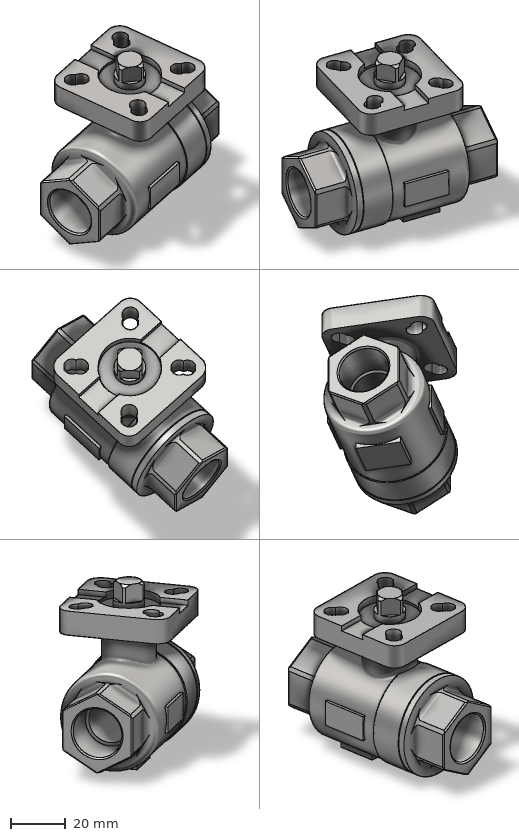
import cadquery as cq
import math

overall_length = 75
stem_top_z = 47.0

body_diameter = 38.0
body_half_length = 23.55
body_front_rounding = 2.0
collar_diameter = 39
collar_start_y = 8.85
joint_y = 20.85
joint_width = 0.2
joint_depth = 0.15

hex_flats = 26.85
hex_corner_flats = 30
hex_base_fillet = 2.0
hex_end_chamfer_depth = 0.45
hex_end_chamfer_length = 0.7

bore_diameter = 16.0
socket_diameter = 18.6
socket_depth = 15
socket_chamfer = 0.6

pad_reach = collar_diameter / 2
side_pad_length = 18
side_pad_height = 10.0
side_pad_y = -5.1
bottom_pad_length = 15
bottom_pad_width = 16.8
bottom_pad_y = -8.7

neck_diameter = 20.0
neck_body_fillet = 2.0
neck_plate_fillet = 1.8
selection_margin = 0.1
plate_size = 42
plate_thickness = 9.2
plate_top_z = 40.1
plate_bottom_z = plate_top_z - plate_thickness
plate_corner_radius = 5.0
recess_diameter = 23.0
recess_depth = 3
slot_width = 10.0
slot_depth = 2.0
bolt_hole_diameter = 6
bolt_circle_diameters = (36, 42)
bolt_angles = (45, 135, 225, 315)

stem_diameter = 11.5
stem_flats = 9
stem_chamfer = 1.05


def y_cylinder(diameter, y_start, y_end):
    """Cylinder on the flow axis between two Y positions."""
    disc = cq.Workplane("XZ", origin=(0, y_start, 0)).circle(diameter / 2)
    return disc.extrude(y_start - y_end)


def neck_edges_between(z_low, z_high):
    """Selector for the edges around the neck that lie wholly between two heights."""
    reach = neck_diameter / 2 + selection_margin
    return cq.selectors.BoxSelector((-reach, -reach, z_low), (reach, reach, z_high), boundingbox=True)


def make_body():
    """Body barrel with its neck; both ends of the neck flare out in fillets."""
    barrel = y_cylinder(body_diameter, -body_half_length, body_half_length)
    barrel = barrel.faces("<Y").edges().fillet(body_front_rounding)
    neck = cq.Workplane("XY").circle(neck_diameter / 2).extrude(plate_bottom_z)
    plate = (
        cq.Workplane("XY", origin=(0, 0, plate_bottom_z))
        .rect(plate_size, plate_size)
        .extrude(plate_thickness)
        .edges("|Z")
        .fillet(plate_corner_radius)
    )
    body = barrel.union(neck).union(plate)
    neck_middle_z = (body_diameter / 2 + plate_bottom_z) / 2
    body = body.edges(neck_edges_between(0, neck_middle_z)).fillet(neck_body_fillet)
    return body.edges(neck_edges_between(neck_middle_z, plate_top_z)).fillet(neck_plate_fillet)


def make_collar():
    """Wider rear part of the body with a fine joint groove around it."""
    collar = y_cylinder(collar_diameter, collar_start_y, body_half_length)
    groove_start = joint_y - joint_width / 2
    groove_end = joint_y + joint_width / 2
    core_diameter = collar_diameter - 2 * joint_depth
    groove = y_cylinder(collar_diameter, groove_start, groove_end).cut(
        y_cylinder(core_diameter, groove_start, groove_end)
    )
    return collar.cut(groove)


def make_hex_end():
    """Hexagon at the +Y end: flats flared at the base, chamfered at the end, corners cut flat."""
    flat = hex_flats / 2
    flare = flat + hex_base_fillet
    base_y = body_half_length
    end_y = overall_length / 2
    arc_offset = hex_base_fillet * (1 - math.sqrt(0.5))
    flat_profile = (
        cq.Workplane("XY", origin=(0, 0, -flare))
        .moveTo(-flare, base_y)
        .lineTo(flare, base_y)
        .threePointArc((flat + arc_offset, base_y + arc_offset), (flat, base_y + hex_base_fillet))
        .lineTo(flat, end_y - hex_end_chamfer_length)
        .lineTo(flat - hex_end_chamfer_depth, end_y)
        .lineTo(-flare, end_y)
        .close()
        .extrude(2 * flare)
    )
    corner_diameter = hex_corner_flats / math.cos(math.pi / 6)
    hex_end = (
        cq.Workplane("XZ", origin=(0, base_y, 0))
        .polygon(6, corner_diameter)
        .extrude(base_y - end_y)
    )
    for side in range(6):
        hex_end = hex_end.intersect(flat_profile.rotate((0, 0, 0), (0, 1, 0), 60 * side))
    return hex_end


def make_pads():
    """Flat pads standing out on both sides and below the body."""
    side_pads = cq.Workplane("XY", origin=(0, side_pad_y, 0)).box(
        2 * pad_reach, side_pad_length, side_pad_height
    )
    bottom_pad = cq.Workplane("XY", origin=(0, bottom_pad_y, -pad_reach / 2)).box(
        bottom_pad_width, bottom_pad_length, pad_reach
    )
    return side_pads.union(bottom_pad)


def make_flow_passage():
    """Through bore with a chamfered socket at each end."""
    end_y = overall_length / 2
    socket_radius = socket_diameter / 2
    passage = y_cylinder(bore_diameter, -end_y, end_y)
    socket = (
        cq.Workplane("XY")
        .moveTo(0, end_y - socket_depth)
        .lineTo(socket_radius, end_y - socket_depth)
        .lineTo(socket_radius, end_y - socket_chamfer)
        .lineTo(socket_radius + socket_chamfer, end_y)
        .lineTo(0, end_y)
        .close()
        .revolve(360, (0, 0, 0), (0, 1, 0))
    )
    return passage.union(socket).union(socket.mirror("XZ"))


def make_plate_cuts():
    """Round recess, cross slot along X and paired bolt holes of the mounting plate."""
    top = cq.Workplane("XY", origin=(0, 0, plate_top_z))
    cuts = top.circle(recess_diameter / 2).extrude(-recess_depth)
    cuts = cuts.union(top.rect(plate_size, slot_width).extrude(-slot_depth))
    for circle_diameter in bolt_circle_diameters:
        for angle in bolt_angles:
            x = circle_diameter / 2 * math.cos(math.radians(angle))
            y = circle_diameter / 2 * math.sin(math.radians(angle))
            hole = top.center(x, y).circle(bolt_hole_diameter / 2).extrude(-plate_thickness)
            cuts = cuts.union(hole)
    return cuts


def make_stem():
    """Round stem, squared above the plate with its corners toward X and Y."""
    floor_z = plate_top_z - recess_depth
    stem = (
        cq.Workplane("XY", origin=(0, 0, floor_z))
        .circle(stem_diameter / 2)
        .extrude(stem_top_z - floor_z)
        .faces(">Z")
        .chamfer(stem_chamfer)
    )
    square = (
        cq.Workplane("XY", origin=(0, 0, plate_top_z))
        .transformed(rotate=(0, 0, 45))
        .rect(stem_flats, stem_flats)
        .extrude(stem_top_z - plate_top_z)
    )
    shank = cq.Workplane("XY", origin=(0, 0, floor_z)).circle(stem_diameter / 2).extrude(recess_depth)
    return stem.intersect(square.union(shank))


hex_end = make_hex_end()
solid = make_body().union(make_collar()).union(make_pads())
solid = solid.union(hex_end).union(hex_end.mirror("XZ"))
result = solid.cut(make_flow_passage()).cut(make_plate_cuts()).union(make_stem())